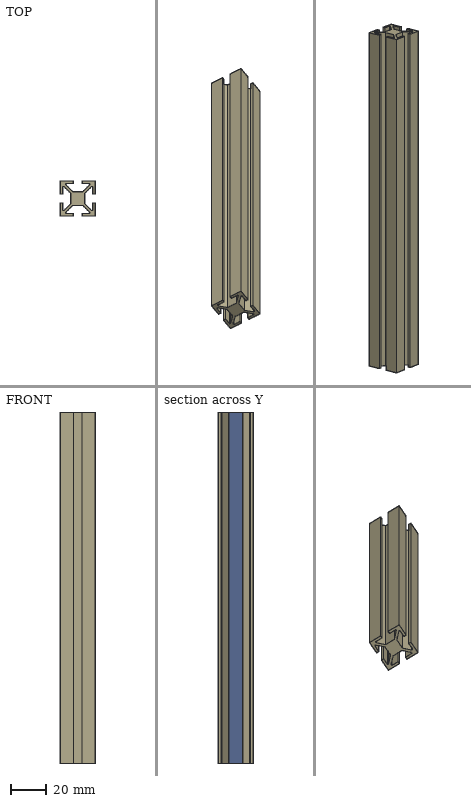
import cadquery as cq
import math

LENGTH = 200.0
SIDE = 20.0
SLOT_OPENING = 5.0
LIP_THICKNESS = 1.5
CORNER_BLOCK = 3.25
CORE_SIDE = 8.0
RIB_THICKNESS = 1.5

HALF_SIDE = SIDE / 2
HALF_CORE = CORE_SIDE / 2
HALF_OPENING = SLOT_OPENING / 2
LIP_INNER = HALF_SIDE - LIP_THICKNESS
CHAMBER_HALF = HALF_SIDE - CORNER_BLOCK
RIB_OFFSET = RIB_THICKNESS / math.sqrt(2)
SLOT_ANGLES = (0, 90, 180, 270)


def make_slot():
    """Full-length T-slot that opens through the +Y face."""
    right_side = [
        (HALF_CORE - RIB_OFFSET, HALF_CORE),
        (CHAMBER_HALF, CHAMBER_HALF + RIB_OFFSET),
        (CHAMBER_HALF, LIP_INNER),
        (HALF_OPENING, LIP_INNER),
        (HALF_OPENING, HALF_SIDE),
    ]
    left_side = [(-x, y) for x, y in reversed(right_side)]
    outline = right_side + left_side
    return cq.Workplane("XY").polyline(outline).close().extrude(LENGTH)

bar = cq.Workplane("XY").rect(SIDE, SIDE).extrude(LENGTH)
slot = make_slot()
for angle in SLOT_ANGLES:
    bar = bar.cut(slot.rotate((0, 0, 0), (0, 0, 1), angle))

result = bar